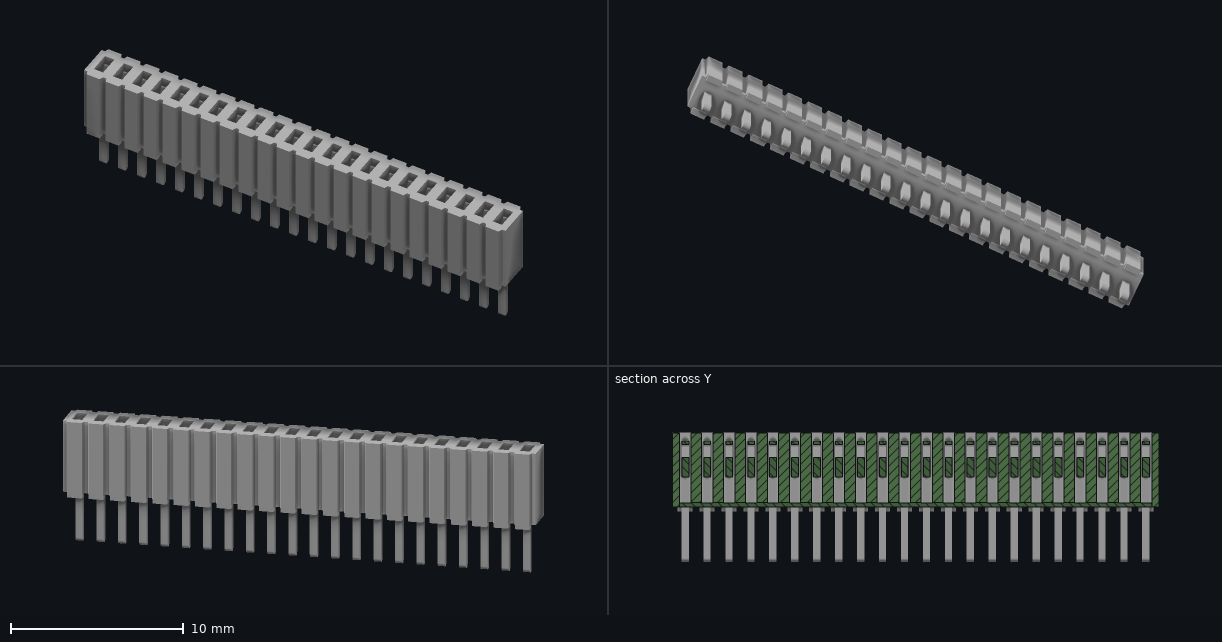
import cadquery as cq
import math

HOUSING_LENGTH = 28.17
HOUSING_WIDTH = 2.54
HOUSING_HEIGHT = 4.3
NOTCH_DEPTH = 0.25
RIB_WIDTH = 0.87
RIB_FLANK_ANGLE = 20.0
FOOT_WIDTH = 0.37
FOOT_HEIGHT = 0.25
POCKET_LENGTH_X = 0.62
POCKET_WIDTH_Y = 1.3

CONTACT_COUNT = 22
END_ALLOWANCE = 0.1
PITCH = (HOUSING_LENGTH - 2 * END_ALLOWANCE) / CONTACT_COUNT
CONTACT_X = [(i - (CONTACT_COUNT - 1) / 2) * PITCH for i in range(CONTACT_COUNT)]

OVERALL_HEIGHT = 7.5
STRIP_THICKNESS = 0.25
LEAF_WIDTH = 0.42
LEAF_THICKNESS = 0.08
LEAF_BASE_Y = 0.55
CONTACT_GAP = 0.48
BEND_HEIGHT = 3.5
FLARE_RUN = 0.15
FLARE_ANGLE = 20.0
PIN_SIZE = 0.42

core_width = HOUSING_WIDTH - 2 * NOTCH_DEPTH
strip_length = (CONTACT_COUNT - 1) * PITCH + POCKET_LENGTH_X
pin_length = OVERALL_HEIGHT - HOUSING_HEIGHT


def box(x, y, z_bottom, length, width, height):
    return (
        cq.Workplane("XY", origin=(x, y, z_bottom))
        .rect(length, width)
        .extrude(height)
    )


def rib_block(x):
    """Pair of ribs with sloped flanks, as one bar across the housing."""
    half_tip = RIB_WIDTH / 2
    half_root = half_tip + NOTCH_DEPTH * math.tan(math.radians(RIB_FLANK_ANGLE))
    outer = HOUSING_WIDTH / 2
    root = core_width / 2
    return (
        cq.Workplane("XY", origin=(x, 0, 0))
        .polyline([
            (-half_tip, outer), (half_tip, outer), (half_root, root), (half_root, -root),
            (half_tip, -outer), (-half_tip, -outer), (-half_root, -root), (-half_root, root),
        ])
        .close()
        .extrude(HOUSING_HEIGHT)
    )


def make_housing():
    housing = box(0, 0, 0, HOUSING_LENGTH, core_width, HOUSING_HEIGHT)
    foot_y = (HOUSING_WIDTH - FOOT_WIDTH) / 2
    for x in CONTACT_X:
        housing = housing.union(rib_block(x))
        for y in (-foot_y, foot_y):
            housing = housing.union(box(x, y, -FOOT_HEIGHT, RIB_WIDTH, FOOT_WIDTH, FOOT_HEIGHT))
    for x in CONTACT_X:
        housing = housing.cut(box(x, 0, 0, POCKET_LENGTH_X, POCKET_WIDTH_Y, HOUSING_HEIGHT))
    return housing.cut(box(0, 0, 0, strip_length, POCKET_WIDTH_Y, STRIP_THICKNESS))


def contact_leaf(x, side):
    """Leaf that leans towards the pocket centre, then flares back out at its mouth."""
    bend_y = CONTACT_GAP / 2
    mouth_y = bend_y + FLARE_RUN
    top = BEND_HEIGHT + FLARE_RUN / math.tan(math.radians(FLARE_ANGLE))
    profile = [
        (LEAF_BASE_Y - LEAF_THICKNESS, STRIP_THICKNESS),
        (bend_y, BEND_HEIGHT),
        (mouth_y, top),
        (mouth_y + LEAF_THICKNESS, top),
        (bend_y + LEAF_THICKNESS, BEND_HEIGHT),
        (LEAF_BASE_Y, STRIP_THICKNESS),
    ]
    return (
        cq.Workplane("YZ", origin=(x, 0, 0))
        .polyline([(side * y, z) for y, z in profile])
        .close()
        .extrude(LEAF_WIDTH / 2, both=True)
    )


def pin(x):
    """Square solder pin with a full round about X at its tip."""
    radius = PIN_SIZE / 2
    tip_start = radius - pin_length
    return (
        cq.Workplane("YZ", origin=(x, 0, 0))
        .moveTo(-radius, 0)
        .lineTo(radius, 0)
        .lineTo(radius, tip_start)
        .threePointArc((0, -pin_length), (-radius, tip_start))
        .close()
        .extrude(PIN_SIZE / 2, both=True)
    )


def make_contact_strip():
    strip = box(0, 0, 0, strip_length, POCKET_WIDTH_Y, STRIP_THICKNESS)
    for x in CONTACT_X:
        strip = strip.union(pin(x))
        for side in (-1, 1):
            strip = strip.union(contact_leaf(x, side))
    return strip


housing = make_housing()
contact_strip = make_contact_strip()
result = cq.Compound.makeCompound([housing.val(), contact_strip.val()])